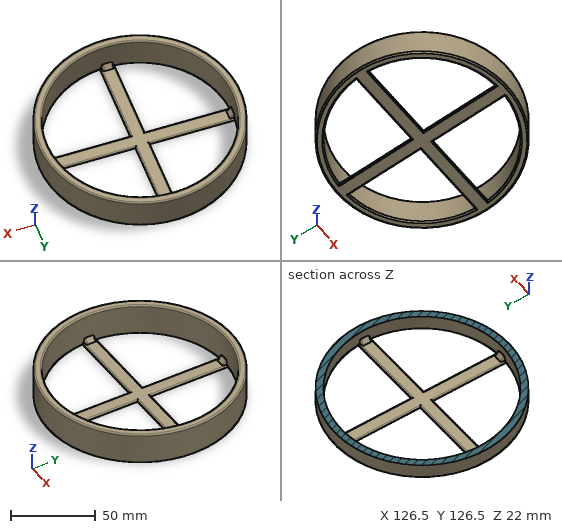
import cadquery as cq

outer_diameter = 126.5
inner_diameter = 116.5
ring_height = 22.0
ring_bottom_chamfer = 1.0
edge_radius = 1.0

spoke_count = 4
spoke_width = 9.0
spoke_thickness = 2.0
spoke_bottom_chamfer = 0.7
spoke_flat_width = spoke_width - 2 * edge_radius

ramp_run = 3.0

outer_radius = outer_diameter / 2
inner_radius = inner_diameter / 2
wall_middle_radius = (outer_radius + inner_radius) / 2


def make_ring():
    """Upright tube with rounded top edges and chamfered bottom edges."""
    tube = cq.Workplane("XY").circle(outer_radius).circle(inner_radius).extrude(ring_height)
    tube = tube.faces(">Z").edges().fillet(edge_radius)
    return tube.faces("<Z").edges().chamfer(ring_bottom_chamfer)


def make_cross():
    """Two crossing bars, rounded above and chamfered below, ending inside the ring wall."""
    bar_length = 2 * wall_middle_radius
    along_x = cq.Workplane("XY").rect(bar_length, spoke_width).extrude(spoke_thickness)
    along_y = cq.Workplane("XY").rect(spoke_width, bar_length).extrude(spoke_thickness)
    cross = along_x.union(along_y)
    cross = cross.faces(">Z").edges().fillet(edge_radius)
    return cross.faces("<Z").edges().chamfer(spoke_bottom_chamfer)


def make_ramp():
    """45 degree ramp at the +X spoke end, with the long edges of its slope rounded.

    The ramp is as wide as the flat top of the spoke and runs on into the ring wall.
    """
    foot = inner_radius - ramp_run
    back = wall_middle_radius
    back_height = spoke_thickness + (back - foot)
    ramp = (
        cq.Workplane("XZ")
        .moveTo(foot, spoke_thickness)
        .lineTo(back, spoke_thickness)
        .lineTo(back, back_height)
        .close()
        .extrude(spoke_flat_width / 2, both=True)
    )
    slope_edges = "(not #Z) and (not |Z)"
    return ramp.edges(slope_edges).fillet(edge_radius)


result = make_ring().union(make_cross())
ramp_at_x = make_ramp()
for index in range(spoke_count):
    turn = index * 360 / spoke_count
    result = result.union(ramp_at_x.rotate((0, 0, 0), (0, 0, 1), turn))